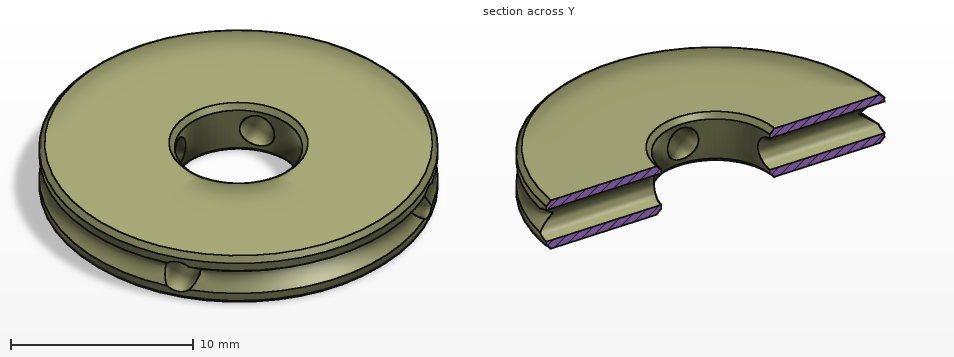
import cadquery as cq

outer_diameter = 21.88
thickness = 3.13
bore_diameter = 7
edge_chamfer = 0.3

groove_width = 1.53
groove_depth = 1.0

radial_hole_diameter = 2.0

seam_angle = 45

outer_radius = outer_diameter / 2
bore_radius = bore_diameter / 2
half_thickness = thickness / 2
half_groove = groove_width / 2


def make_grooved_disc():
    """Turned disc: bore, V groove and chamfers in a single half section."""
    half_section = cq.Workplane("XZ").polyline(
        [
            (bore_radius, -half_thickness),
            (outer_radius, -half_thickness),
            (outer_radius, -half_groove),
            (outer_radius - groove_depth, 0),
            (outer_radius, half_groove),
            (outer_radius, half_thickness),
            (bore_radius, half_thickness),
        ]
    )
    disc = half_section.close().revolve(360, (0, 0, 0), (0, 1, 0))
    disc = disc.faces("<Z or >Z").edges().chamfer(edge_chamfer)
    return disc.rotate((0, 0, 0), (0, 0, 1), seam_angle)


def make_cross_hole(plane):
    """Cutter along the normal of the plane, turned so its seam clears the groove bottom."""
    workplane = cq.Workplane(plane).transformed(rotate=(0, 0, seam_angle))
    return workplane.circle(radial_hole_diameter / 2).extrude(outer_diameter, both=True)


result = make_grooved_disc()
for hole_plane in ("XZ", "YZ"):
    result = result.cut(make_cross_hole(hole_plane))